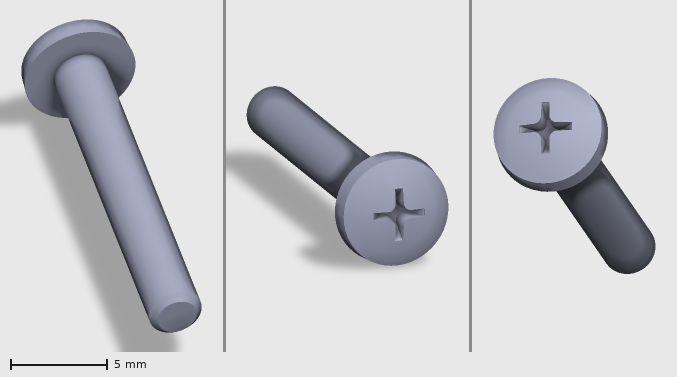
import cadquery as cq

apex_loss = 0.02
total_length = 20.75 + apex_loss
head_diameter = 5.98
head_height = 1.72
crown_height = 0.62
crown_edge_diameter = 5.77
shank_diameter = 2.85
tip_chamfer = 0.37

arm_span = 2.86
arm_width = 0.45
corner_blend = 0.42
wall_taper = 6.0
socket_mouth_radius = 1.62
socket_floor_radius = 0.7
floor_depth = 0.95
point_depth = 1.2


def make_screw_blank():
    """Domed head, shank and chamfered tip turned about the X axis."""
    edge_radius = crown_edge_diameter / 2
    shank_radius = shank_diameter / 2
    crown_radius = (edge_radius**2 + crown_height**2) / (2 * crown_height)
    middle_radius = edge_radius / 2
    middle_x = crown_radius - (crown_radius**2 - middle_radius**2) ** 0.5
    return (
        cq.Workplane("XY")
        .moveTo(0, 0)
        .threePointArc((middle_x, middle_radius), (crown_height, edge_radius))
        .lineTo(head_height, head_diameter / 2)
        .lineTo(head_height, shank_radius)
        .lineTo(total_length - tip_chamfer, shank_radius)
        .lineTo(total_length, shank_radius - tip_chamfer)
        .lineTo(total_length, 0)
        .close()
        .revolve(360, (0, 0, 0), (1, 0, 0))
    )


def make_cross_recess():
    """Tapered cross, bounded by a cone with a pointed floor."""
    cross = (
        cq.Workplane("YZ")
        .rect(arm_span, arm_width)
        .extrude(point_depth)
        .union(cq.Workplane("YZ").rect(arm_width, arm_span).extrude(point_depth))
    )
    inner_corners = cq.selectors.BoxSelector(
        (-0.2, -arm_width, -arm_width), (point_depth + 0.2, arm_width, arm_width)
    )
    blended = cross.edges("|X").edges(inner_corners).fillet(corner_blend)
    outline = blended.faces("<X").wires().val()
    tapered = (
        cq.Workplane("YZ").add(outline).toPending().extrude(point_depth, taper=wall_taper)
    )
    socket = (
        cq.Workplane("XY")
        .polyline(
            [
                (0, 0),
                (0, socket_mouth_radius),
                (floor_depth, socket_floor_radius),
                (point_depth, 0),
            ]
        )
        .close()
        .revolve(360, (0, 0, 0), (1, 0, 0))
    )
    return tapered.intersect(socket)


result = make_screw_blank().cut(make_cross_recess())